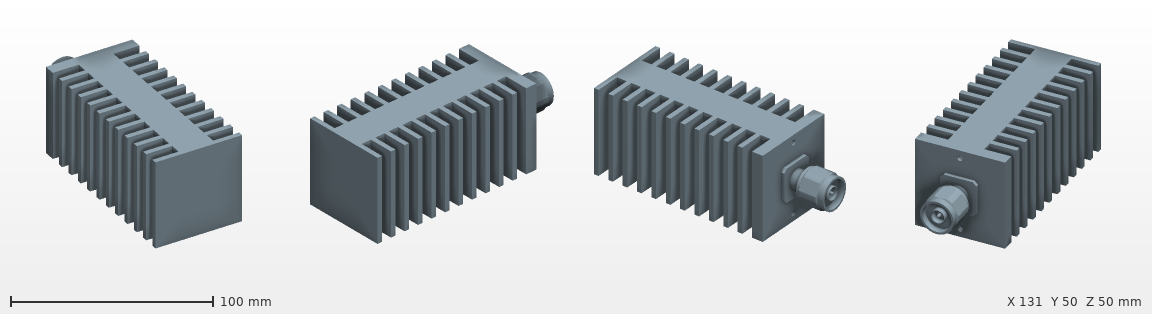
import cadquery as cq
import math


total_length = 131.0

width = 50.0
length = 105.3
core_width = 20.0
front_wall = 6.7
fin_thickness = 2.9
fin_count = 11
parting_y = -3.0
screw_hole_diameter = 3.0
screw_hole_depth = 6.5
drill_point_angle = 118
screw_hole_offset = 20.6

fin_pitch = (length - front_wall) / fin_count
gap_width = fin_pitch - fin_thickness
gap_depth = (width - core_width) / 2

connector_length = total_length - length
flange_thickness = 2.0
flange_corner = 2.0
barrel_diameter = 11.7
nut_length = 17.0
collar_diameter = 18.6
front_collar_length = 3.7
rear_collar_length = 1.7
hex_across_flats = 19.0
hex_corner_diameter = 20.3
hex_front_bevel = 0.5
hex_rear_bevel = 0.8
bore_diameter = 16.2
bore_depth = 3.9
sleeve_diameter = 8.0
sleeve_bore_diameter = 7.2
sleeve_recess = 1.0
sleeve_bore_depth = 3.9
sleeve_chamfer = 0.3
shoulder_diameter = 3.0
shoulder_recess = 3.7
pin_diameter = 1.7
pin_tip_diameter = 0.9
pin_taper = 0.4
pin_recess = 1.0

nut_front = -connector_length
nut_rear = nut_front + nut_length
hex_front = nut_front + front_collar_length
hex_rear = nut_rear - rear_collar_length
sleeve_front = nut_front + sleeve_recess
sleeve_floor = sleeve_front + sleeve_bore_depth


def cylinder(x_start, x_end, diameter):
    """Cylinder on the connector axis."""
    return cq.Workplane("YZ", origin=(x_start, 0, 0)).circle(diameter / 2).extrude(x_end - x_start)


def half_block(y_low, y_high):
    """Plain block spanning the heat sink's length and height."""
    block = cq.Workplane("XY").box(length, y_high - y_low, width, centered=False)
    return block.translate((0, y_low, -width / 2))


def cut_fin_gaps(half, side):
    """Cut the gaps between fins into the outer face on the given side of Y."""
    for i in range(fin_count):
        gap_x = front_wall + i * fin_pitch + gap_width / 2
        gap_y = side * (width - gap_depth) / 2
        gap = cq.Workplane("XY").box(gap_width, gap_depth, width)
        half = half.cut(gap.translate((gap_x, gap_y, 0)))
    return half


def make_flange():
    """Square mounting flange with cut corners, seated on the heat sink's front face."""
    flange = cq.Workplane("YZ").rect(core_width, core_width).extrude(-flange_thickness)
    return flange.edges("|X").chamfer(flange_corner)


def make_hex():
    """Hexagon with flats facing Z, its corners turned down and bevelled at both ends."""
    prism = (
        cq.Workplane("YZ", origin=(hex_front, 0, 0))
        .polygon(6, hex_across_flats / math.cos(math.pi / 6))
        .extrude(hex_rear - hex_front)
    )
    collar_radius = collar_diameter / 2
    corner_radius = hex_corner_diameter / 2
    envelope = (
        cq.Workplane("XY")
        .moveTo(hex_front, 0)
        .lineTo(hex_front, collar_radius)
        .lineTo(hex_front + hex_front_bevel, corner_radius)
        .lineTo(hex_rear - hex_rear_bevel, corner_radius)
        .lineTo(hex_rear, collar_radius)
        .lineTo(hex_rear, 0)
        .close()
        .revolve(360, (0, 0, 0), (1, 0, 0))
    )
    return prism.intersect(envelope)


def make_pin():
    """Centre contact: a tapered pin on a wider shoulder that rises from the sleeve's floor."""
    tip_x = nut_front + pin_recess
    shoulder_x = nut_front + shoulder_recess
    return (
        cq.Workplane("XY")
        .moveTo(tip_x, 0)
        .lineTo(tip_x, pin_tip_diameter / 2)
        .lineTo(tip_x + pin_taper, pin_diameter / 2)
        .lineTo(shoulder_x, pin_diameter / 2)
        .lineTo(shoulder_x, shoulder_diameter / 2)
        .lineTo(sleeve_floor, shoulder_diameter / 2)
        .lineTo(sleeve_floor, 0)
        .close()
        .revolve(360, (0, 0, 0), (1, 0, 0))
    )


def make_connector():
    """Coaxial connector: flange, barrel, hexagonal nut, inner sleeve and centre contact."""
    bore_floor = nut_front + bore_depth
    nut = cylinder(nut_front, nut_rear, collar_diameter).union(make_hex())
    nut = nut.cut(cylinder(nut_front, bore_floor, bore_diameter))
    sleeve = cylinder(sleeve_front, bore_floor, sleeve_diameter).faces("<X").chamfer(sleeve_chamfer)
    nut = nut.union(sleeve)
    nut = nut.cut(cylinder(sleeve_front, sleeve_floor, sleeve_bore_diameter))
    barrel = cylinder(nut_rear, 0, barrel_diameter)
    return nut.union(make_pin()).union(barrel).union(make_flange())


def make_screw_hole():
    """Cutter for a blind drilled hole with a conical bottom, on the X axis."""
    radius = screw_hole_diameter / 2
    point_length = radius / math.tan(math.radians(drill_point_angle / 2))
    return (
        cq.Workplane("XY")
        .lineTo(0, radius)
        .lineTo(screw_hole_depth, radius)
        .lineTo(screw_hole_depth + point_length, 0)
        .close()
        .revolve(360, (0, 0, 0), (1, 0, 0))
    )


def make_main_half():
    """Larger heat sink half, carrying the connector and the screw holes."""
    half = cut_fin_gaps(half_block(parting_y, width / 2), 1)
    for hole_z in (-screw_hole_offset, screw_hole_offset):
        half = half.cut(make_screw_hole().translate((0, 0, hole_z)))
    return half.union(make_connector())


def make_cover_half():
    """Smaller heat sink half, closing the block on the -Y side."""
    return cut_fin_gaps(half_block(-width / 2, parting_y), -1)


main_half = make_main_half()
cover_half = make_cover_half()

result = cq.Compound.makeCompound([main_half.val(), cover_half.val()])